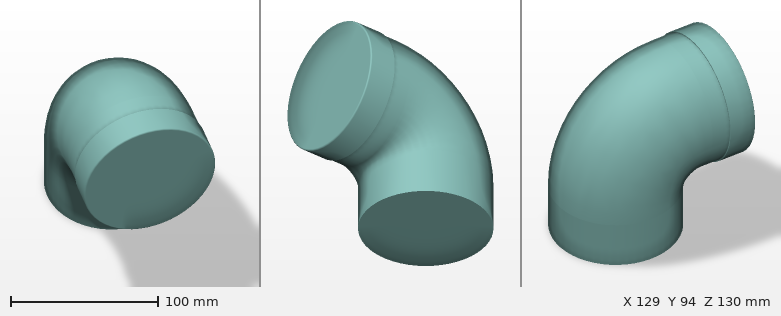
import cadquery as cq

overall_height = 130
pipe_diameter = 92.0
collar_diameter = 94.0
bend_radius = 48.9
neck_length = 13.9
collar_length = 20.2
collar_edge_round = 1.0

pipe_radius = pipe_diameter / 2
collar_radius = collar_diameter / 2
bend_top = overall_height - collar_radius
inlet_length = bend_top - bend_radius
collar_start = bend_radius + neck_length


def cylinder_along_x(start, length, radius):
    """Cylinder on the horizontal axis of the outlet."""
    return (
        cq.Workplane("YZ", origin=(start, 0, bend_top))
        .circle(radius)
        .extrude(length)
    )


inlet = cq.Workplane("XY").circle(pipe_radius).extrude(inlet_length)

bend = (
    cq.Workplane("XY", origin=(0, 0, inlet_length))
    .circle(pipe_radius)
    .revolve(90, (bend_radius, 0, 0), (bend_radius, 1, 0))
)

neck = cylinder_along_x(bend_radius, neck_length, pipe_radius)
collar = (
    cylinder_along_x(collar_start, collar_length, collar_radius)
    .faces(">X")
    .edges()
    .fillet(collar_edge_round)
)

result = inlet.union(bend).union(neck).union(collar)